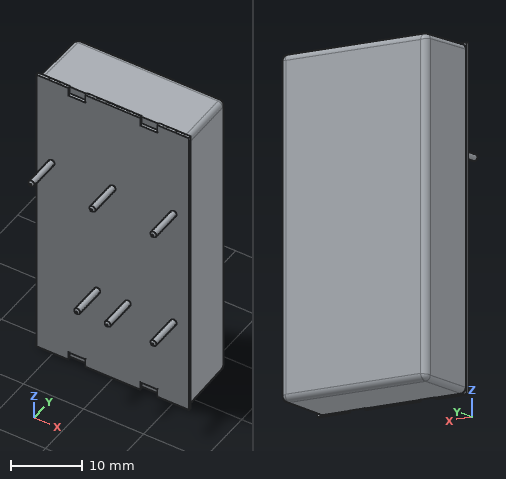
import cadquery as cq

width = 25.4
height = 50.8
body_depth = 10.2
pin_length = 5.6

flange_thickness = 0.5
notch_width = 2.85
notch_height = 1.4
notch_offset = 6.0

side_inset = 0.11
end_inset = 0.165
case_draft = 0.8
rim_radius = 1.0
corner_radius = 0.8

pitch = 2.54
pin_row_offset = 4 * pitch
pin_diameter = 1.0
pin_chamfer = 0.3
upper_pin_columns = [-4, 0, 4]
lower_pin_columns = [-1, 1, 4]


def make_flange():
    """Thin plate with two open notches in its top edge and two in its bottom edge."""
    flange = cq.Workplane("XY").box(
        width, flange_thickness, height, centered=(True, False, True)
    )
    notch = cq.Workplane("XY").box(
        notch_width, flange_thickness, notch_height, centered=(True, False, True)
    )
    notch_z = (height - notch_height) / 2
    for x in (-notch_offset, notch_offset):
        for z in (-notch_z, notch_z):
            flange = flange.cut(notch.translate((x, 0, z)))
    return flange


def make_case():
    """Drafted block with rounded corners and a rounded back rim."""
    case_depth = body_depth - flange_thickness
    case = (
        cq.Workplane("XZ", origin=(0, flange_thickness, 0))
        .rect(width - 2 * side_inset, height - 2 * end_inset)
        .extrude(-case_depth, taper=case_draft)
    )
    case = case.faces(">Y").edges().fillet(rim_radius)
    corner_edges = case.edges("not(|X or |Z)")
    return corner_edges.fillet(corner_radius)


def make_pin(x, z):
    """Round pin with a chamfered tip, standing on the flange."""
    return (
        cq.Workplane("XZ", origin=(x, 0, z))
        .circle(pin_diameter / 2)
        .extrude(pin_length)
        .faces("<Y")
        .chamfer(pin_chamfer)
    )


result = make_flange().union(make_case())
for column in upper_pin_columns:
    result = result.union(make_pin(column * pitch, pin_row_offset))
for column in lower_pin_columns:
    result = result.union(make_pin(column * pitch, -pin_row_offset))